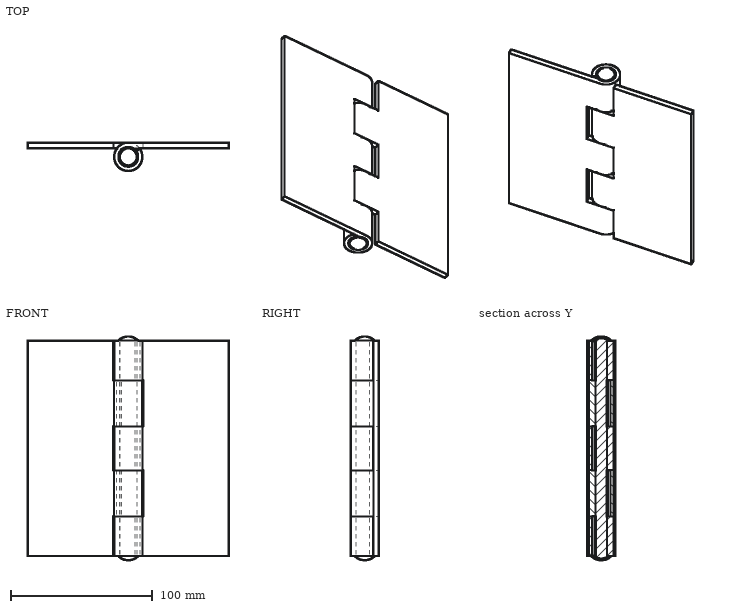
import cadquery as cq
import math

open_width = 142.0
leaf_height = 152.0
leaf_thickness = 4.0
knuckle_radius = 10.0
end_knuckle_height = 28.0
centre_knuckle_height = 31.0
head_radius = 7.0
head_height = 3.0
barrel_clearance = 0.5
curl_clearance = 0.2

pin_radius = knuckle_radius - leaf_thickness
notch_edge = knuckle_radius + barrel_clearance
half_height = leaf_height / 2
left_knuckle_height = (leaf_height - centre_knuckle_height) / 2 - end_knuckle_height
curl_end_angle = math.asin((pin_radius - curl_clearance) / knuckle_radius)

knuckle_heights = [
    end_knuckle_height,
    left_knuckle_height,
    centre_knuckle_height,
    left_knuckle_height,
    end_knuckle_height,
]
knuckle_ranges = []
knuckle_bottom = -half_height
for height in knuckle_heights:
    knuckle_ranges.append((knuckle_bottom, height))
    knuckle_bottom += height


def polar(radius, angle):
    """Point at a radius and angle about the hinge axis."""
    return (radius * math.cos(angle), radius * math.sin(angle))


def make_plate():
    """Flat part of the leaf on the +X side, outside the knuckle barrel."""
    plate_width = open_width / 2 - notch_edge
    return (
        cq.Workplane("XY")
        .box(plate_width, leaf_thickness, leaf_height, centered=(False, False, True))
        .translate((notch_edge, pin_radius, 0))
    )


def make_knuckle(bottom, height):
    """Tongue off the plate that curls round the pin and stops just short of its own underside."""
    arc_middle = (math.pi / 2 + curl_end_angle + 2 * math.pi) / 2
    return (
        cq.Workplane("XY", origin=(0, 0, bottom))
        .moveTo(notch_edge, knuckle_radius)
        .lineTo(0, knuckle_radius)
        .threePointArc(polar(knuckle_radius, arc_middle), polar(knuckle_radius, curl_end_angle))
        .lineTo(*polar(pin_radius, curl_end_angle))
        .threePointArc(polar(pin_radius, arc_middle), (0, pin_radius))
        .lineTo(notch_edge, pin_radius)
        .close()
        .extrude(height)
    )


def make_leaf(ranges):
    """Leaf on the +X side with one knuckle in each of the given Z ranges."""
    leaf = make_plate()
    for bottom, height in ranges:
        leaf = leaf.union(make_knuckle(bottom, height), clean=True)
    return leaf


def make_pin():
    """Round pin with a domed head seated on each end of the barrel."""
    tip = half_height + head_height
    dome_radius = (head_radius**2 + head_height**2) / (2 * head_height)
    dome_half_angle = math.asin(head_radius / dome_radius) / 2
    dome_x = dome_radius * math.sin(dome_half_angle)
    dome_z = tip - dome_radius * (1 - math.cos(dome_half_angle))
    return (
        cq.Workplane("XZ")
        .moveTo(0, -tip)
        .threePointArc((dome_x, -dome_z), (head_radius, -half_height))
        .lineTo(pin_radius, -half_height)
        .lineTo(pin_radius, half_height)
        .lineTo(head_radius, half_height)
        .threePointArc((dome_x, dome_z), (0, tip))
        .close()
        .revolve(360, (0, 0, 0), (0, 1, 0))
    )


right_leaf = make_leaf(knuckle_ranges[0::2])
left_leaf = make_leaf(knuckle_ranges[1::2]).mirror("YZ")
pin = make_pin()

result = cq.Compound.makeCompound([right_leaf.val(), left_leaf.val(), pin.val()])